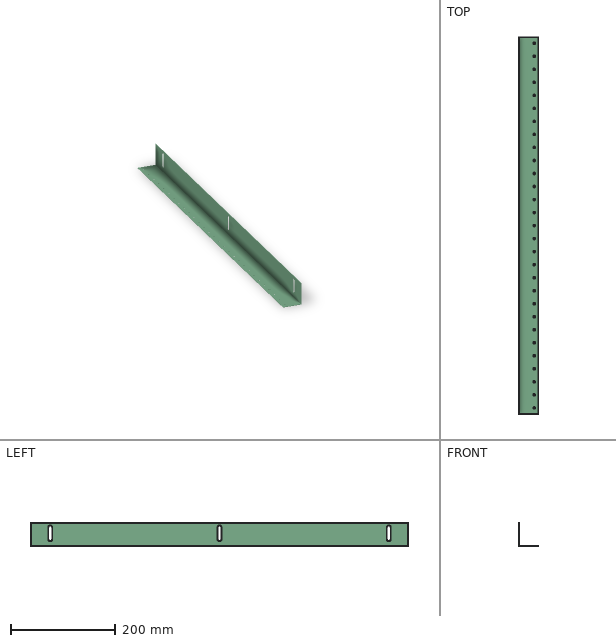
import cadquery as cq

width = 38.0
length = 724.0
height = 45.0
thickness = 0.8

hole_diameter = 3.0
hole_pitch = 25.0
hole_count = 29
hole_edge_distance = 8.0

slot_width = 7.0
slot_length = 30.0
slot_pitch = 325.0
slot_count = 3
slot_edge_distance = 20.0


def centred_positions(count, pitch):
    """Evenly spaced positions along Y, symmetric about the middle of the strip."""
    first = -pitch * (count - 1) / 2
    return [first + pitch * index for index in range(count)]


def angle_strip():
    """Sharp-cornered L profile in XZ, extruded along Y and centred on Y = 0."""
    profile = [
        (0, 0),
        (width, 0),
        (width, thickness),
        (thickness, thickness),
        (thickness, height),
        (0, height),
    ]
    return cq.Workplane("XZ").polyline(profile).close().extrude(length / 2, both=True)


def hole_cutters():
    """Round cutters through the horizontal flange."""
    hole_x = width - hole_edge_distance
    centres = [(hole_x, y) for y in centred_positions(hole_count, hole_pitch)]
    return cq.Workplane("XY").pushPoints(centres).circle(hole_diameter / 2).extrude(thickness)


def slot_cutters():
    """Round-ended upright cutters through the vertical flange."""
    slot_z = height - slot_edge_distance
    centres = [(y, slot_z) for y in centred_positions(slot_count, slot_pitch)]
    upright = 90
    return cq.Workplane("YZ").pushPoints(centres).slot2D(slot_length, slot_width, upright).extrude(thickness)


result = angle_strip().cut(hole_cutters()).cut(slot_cutters())